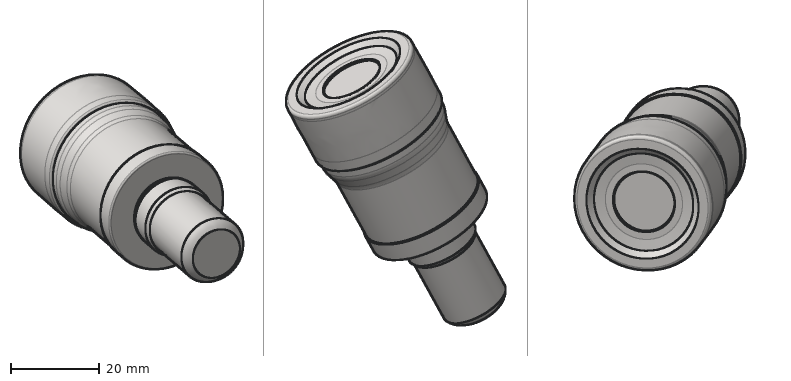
import cadquery as cq

TOTAL_LENGTH = 68.0
CAP_LENGTH = 16.05
LAND_END = 17.8
SHOULDER_FLANK_START = 19.25
SHOULDER_FLANK_END = 21.35
BARREL_START = 22.6
FLANGE_START = 37.9
FLANGE_END = 42.8
COLLAR_START = 64.7
COLLAR_END = 48.95
SHANK_START = 49.95
TIP_START = 65.9

CAP_RADIUS = 32.3 / 2
LAND_RADIUS = 31.0 / 2
BARREL_RADIUS = 28.6 / 2
FLANGE_RADIUS = 29.0 / 2
NECK_RADIUS = 16.6 / 2
COLLAR_RADIUS = 17.0 / 2
SHANK_RADIUS = 15.8 / 2
TIP_RADIUS = 6.0

CROWN_START = 1.4
CROWN_END = 13.1
CROWN_HEIGHT = 0.1
CAP_RIM_RADIUS = CAP_RADIUS - CROWN_HEIGHT

TIP_ARC_RADIUS = 4.1
CAP_FRONT_FILLET = 0.8
CAP_REAR_FILLET = 0.55
FLANGE_FRONT_CHAMFER = 0.2
FLANGE_REAR_FILLET = 0.4
NECK_STEP = 0.6
COLLAR_LEAD = 0.55

MOUTH_RADIUS = 13.05
RECESS_RADIUS = 11.55
RECESS_DEPTH = 1.2
DISH_RADIUS = 9.0
DISH_DEPTH = 1.55
BORE_MOUTH_RADIUS = 7.2
BORE_RADIUS = 7.0
SPIGOT_DEPTH = 1.9

FLANK_DROP = 0.3
FLANK_RISE = 0.3


def revolve_about_x(profile):
    """Turn a closed XY profile, with Y as radius, about the X axis."""
    return profile.close().revolve(360, (0, 0, 0), (1, 0, 0))


def make_cap():
    """Ring with rounded rims, a slight crown, a dished front recess and a through bore."""
    profile = (
        cq.Workplane("XY")
        .moveTo(0, MOUTH_RADIUS)
        .lineTo(0, CAP_RIM_RADIUS - CAP_FRONT_FILLET)
        .radiusArc((CAP_FRONT_FILLET, CAP_RIM_RADIUS), CAP_FRONT_FILLET)
        .lineTo(CROWN_START, CAP_RIM_RADIUS)
        .threePointArc(
            ((CROWN_START + CROWN_END) / 2, CAP_RADIUS),
            (CROWN_END, CAP_RIM_RADIUS),
        )
        .lineTo(CAP_LENGTH - CAP_REAR_FILLET, CAP_RIM_RADIUS)
        .radiusArc((CAP_LENGTH, CAP_RIM_RADIUS - CAP_REAR_FILLET), CAP_REAR_FILLET)
        .lineTo(CAP_LENGTH, BORE_RADIUS)
        .lineTo(SPIGOT_DEPTH, BORE_RADIUS)
        .lineTo(DISH_DEPTH, BORE_MOUTH_RADIUS)
        .lineTo(DISH_DEPTH, DISH_RADIUS)
        .lineTo(RECESS_DEPTH, RECESS_RADIUS)
    )
    return revolve_about_x(profile)


def make_body():
    """Spigot, shouldered barrel, flange, neck, collar and shank in one turning."""
    profile = (
        cq.Workplane("XY")
        .moveTo(SPIGOT_DEPTH, 0)
        .lineTo(SPIGOT_DEPTH, BORE_RADIUS)
        .lineTo(CAP_LENGTH, BORE_RADIUS)
        .lineTo(CAP_LENGTH, LAND_RADIUS)
        .lineTo(LAND_END, LAND_RADIUS)
        .tangentArcPoint((SHOULDER_FLANK_START, LAND_RADIUS - FLANK_DROP), relative=False)
        .lineTo(SHOULDER_FLANK_END, BARREL_RADIUS + FLANK_RISE)
        .tangentArcPoint((BARREL_START, BARREL_RADIUS), relative=False)
        .lineTo(FLANGE_START, BARREL_RADIUS)
        .lineTo(FLANGE_START + FLANGE_FRONT_CHAMFER, FLANGE_RADIUS)
        .lineTo(FLANGE_END - FLANGE_REAR_FILLET, FLANGE_RADIUS)
        .radiusArc((FLANGE_END, FLANGE_RADIUS - FLANGE_REAR_FILLET), FLANGE_REAR_FILLET)
        .lineTo(FLANGE_END, NECK_RADIUS)
        .lineTo(FLANGE_END + NECK_STEP, NECK_RADIUS)
        .lineTo(FLANGE_END + NECK_STEP + COLLAR_LEAD, COLLAR_RADIUS)
        .lineTo(COLLAR_END, COLLAR_RADIUS)
        .lineTo(SHANK_START, SHANK_RADIUS)
        .lineTo(TIP_START, SHANK_RADIUS)
        .radiusArc((TOTAL_LENGTH, TIP_RADIUS), TIP_ARC_RADIUS)
        .lineTo(TOTAL_LENGTH, 0)
    )
    return revolve_about_x(profile)


cap = make_cap()
body = make_body()

result = cq.Compound.makeCompound([cap.val(), body.val()])